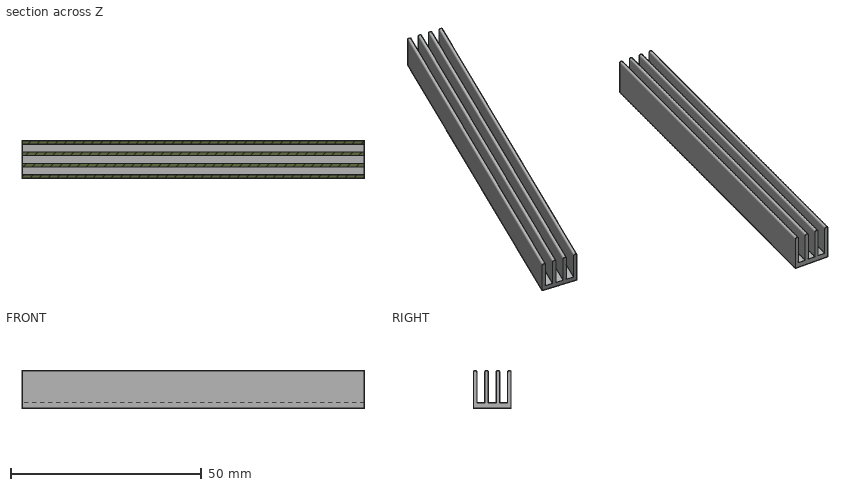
import cadquery as cq

length = 90.0
width = 10.0
height = 10.0

base_thickness = 1.5
fin_count = 4
fin_thickness = 1.0
fin_pitch = (width - fin_thickness) / (fin_count - 1)
fin_tip_radius = fin_thickness / 2


def make_base():
    """Flat plate that carries the fins, resting on Z = 0."""
    return cq.Workplane("XY").box(length, width, base_thickness, centered=(True, True, False))


def make_fin(center_y):
    """Upright full-length fin with a fully rounded tip."""
    left = center_y - fin_tip_radius
    right = center_y + fin_tip_radius
    shoulder = height - fin_tip_radius
    return (
        cq.Workplane("YZ", origin=(-length / 2, 0, 0))
        .moveTo(left, 0)
        .lineTo(right, 0)
        .lineTo(right, shoulder)
        .threePointArc((center_y, height), (left, shoulder))
        .close()
        .extrude(length)
    )


result = make_base()
for index in range(fin_count):
    fin_center = (index - (fin_count - 1) / 2) * fin_pitch
    result = result.union(make_fin(fin_center))
result = result.clean()